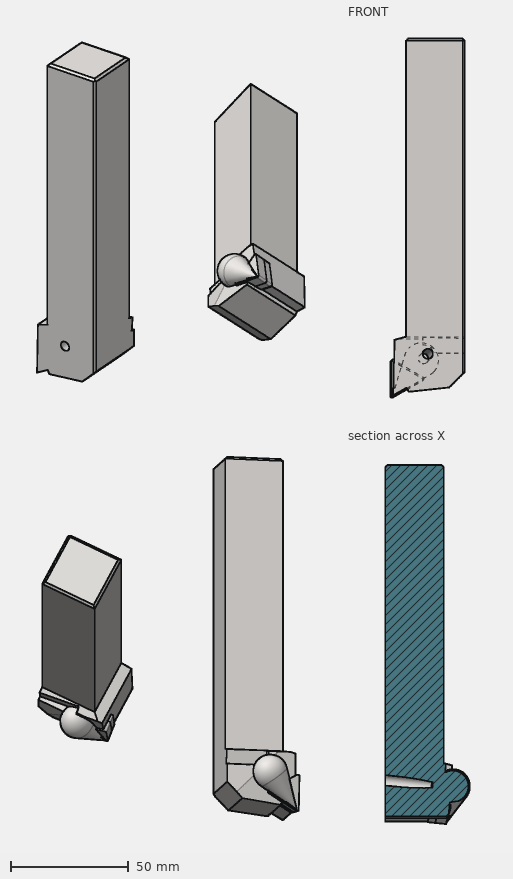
import cadquery as cq
import math

SHANK_SIDE = 25.0
TOP_Z = 152.4
END_CHAMFER = 1.0
CORNER_CHAMFER = 0.9

SHOULDER_Z = 25.9
HEAD_OVERHANG = 4.9
SHOULDER_DROP = 1.4
HEAD_FOOT_X = -5.3
HEAD_FOOT_Z = 1.0
NOTCH_X = 0.2
NOTCH_Z = 4.1
HEEL_X = 1.2
HEEL_Z = 2.5
CORNER_CUT = 6.7
CORNER_CUT_Z = 11.0
HEAD_BACK_Y = 28.5

INSERT_EDGE = 16.8
INSERT_THICKNESS = 4.7
SHIM_THICKNESS = 3.2
NOSE_RADIUS = 0.8
TILT_SLOPE = 0.1
CORNER_X = -6.7
CORNER_Y = 25.8
CORNER_Z = -0.55

SEAT_DEPTH = 0.8

CLAMP_SETBACK = 1.4
CLAMP_LENGTH = 20.0
CLAMP_TURN = 38.0
CLAMP_RADIUS = 7.3

RECESS_DEPTH = 4.0
RECESS_X = 6.9
RECESS_Z = 19.0

HOLE_DIAMETER = 4.3
HOLE_X = 9.3
HOLE_Z = 18.6
HOLE_DEPTH = 20.1

SEAT_NORMAL = cq.Vector(-TILT_SLOPE, 1, -TILT_SLOPE)
EDGE_DIRECTION = cq.Vector(0, TILT_SLOPE, 1)


def rake_plane(depth=0.0):
    """Tilted plane below the rake face: local x climbs the cutting edge, local y points inward."""
    plane = cq.Plane((CORNER_X, CORNER_Y, CORNER_Z), EDGE_DIRECTION, SEAT_NORMAL)
    plane.origin = plane.toWorldCoords((0, 0, -depth))
    return plane


def make_triangle(depth, thickness):
    """Equilateral plate with rounded noses, starting at a depth below the rake face."""
    height = INSERT_EDGE * math.sqrt(3) / 2
    return (
        cq.Workplane(rake_plane(depth))
        .polyline([(0, 0), (INSERT_EDGE, 0), (INSERT_EDGE / 2, height)])
        .close()
        .extrude(-thickness)
        .edges(cq.selectors.ParallelDirSelector(SEAT_NORMAL))
        .fillet(NOSE_RADIUS)
    )


def make_shank():
    """Square bar above the corner cut, chamfered around its end."""
    shank = cq.Workplane("XY").box(SHANK_SIDE, SHANK_SIDE, TOP_Z - CORNER_CUT_Z, centered=False)
    shank = shank.translate((0, 0, CORNER_CUT_Z))
    return shank.faces(">Z").chamfer(END_CHAMFER)


def make_recess():
    """Block that lowers the upper right part of the back of the head."""
    return (
        cq.Workplane(rake_plane(RECESS_DEPTH))
        .moveTo(RECESS_Z - CORNER_Z, RECESS_X - CORNER_X)
        .rect(SHANK_SIDE, SHANK_SIDE, centered=False)
        .extrude(SHANK_SIDE)
    )


def make_head():
    """Outline extruded along Y, with a sloped back shoulder and a tilted back face."""
    shoulder_edge_z = SHOULDER_Z - SHOULDER_DROP
    outline = [
        (0, SHOULDER_Z),
        (-HEAD_OVERHANG, shoulder_edge_z),
        (HEAD_FOOT_X, HEAD_FOOT_Z),
        (NOTCH_X, NOTCH_Z),
        (HEEL_X, HEEL_Z),
        (SHANK_SIDE - CORNER_CUT, CORNER_CUT_Z - CORNER_CUT),
        (SHANK_SIDE, CORNER_CUT_Z),
        (SHANK_SIDE, SHOULDER_Z),
    ]
    head = cq.Workplane("XZ").polyline(outline).close().extrude(-HEAD_BACK_Y)
    back_rise = HEAD_BACK_Y - SHANK_SIDE
    back_shoulder = (
        cq.Workplane("YZ", origin=(-HEAD_OVERHANG, 0, 0))
        .moveTo(SHANK_SIDE, SHOULDER_Z)
        .line(back_rise, 0)
        .line(0, -back_rise * SHOULDER_DROP / HEAD_OVERHANG)
        .close()
        .extrude(SHANK_SIDE + HEAD_OVERHANG)
    )
    cut_span = 4 * SHANK_SIDE
    above_seat = cq.Workplane(rake_plane(SEAT_DEPTH)).rect(cut_span, cut_span).extrude(SHANK_SIDE)
    return head.cut(back_shoulder).cut(above_seat).cut(make_recess())


def make_clamp():
    """Ball over the screw with a cone tangent to it that tapers to a point on the rake face."""
    plane = rake_plane().rotated((0, 0, CLAMP_TURN))
    tangent_angle = math.acos(CLAMP_RADIUS / CLAMP_LENGTH)
    ball_center = CLAMP_SETBACK + CLAMP_LENGTH
    tangent_point = (
        ball_center - CLAMP_RADIUS * math.cos(tangent_angle),
        CLAMP_RADIUS * math.sin(tangent_angle),
    )
    return (
        cq.Workplane(plane)
        .moveTo(CLAMP_SETBACK, 0)
        .lineTo(*tangent_point)
        .threePointArc((ball_center, CLAMP_RADIUS), (ball_center + CLAMP_RADIUS, 0))
        .close()
        .revolve(360, (0, 0), (1, 0))
    )


def make_screw_hole():
    """Slanted blind hole that starts just outside the front face."""
    plane = cq.Plane((HOLE_X, 0, HOLE_Z), EDGE_DIRECTION, SEAT_NORMAL)
    plane.origin = plane.toWorldCoords((0, 0, -HOLE_DIAMETER))
    return cq.Workplane(plane).circle(HOLE_DIAMETER / 2).extrude(HOLE_DIAMETER + HOLE_DEPTH)


def make_corner_cut():
    """Full-length wedge that bevels the front right corner."""
    return (
        cq.Workplane("XY")
        .moveTo(SHANK_SIDE, 0)
        .line(-CORNER_CHAMFER, 0)
        .line(CORNER_CHAMFER, CORNER_CHAMFER)
        .close()
        .extrude(TOP_Z)
    )


insert = make_triangle(0, INSERT_THICKNESS)
shim = make_triangle(INSERT_THICKNESS, SHIM_THICKNESS)
holder = make_shank().union(make_head()).union(shim).union(make_clamp())
holder = holder.cut(make_screw_hole()).cut(make_corner_cut()).cut(insert)

result = cq.Compound.makeCompound([holder.solids().val(), insert.solids().val()])